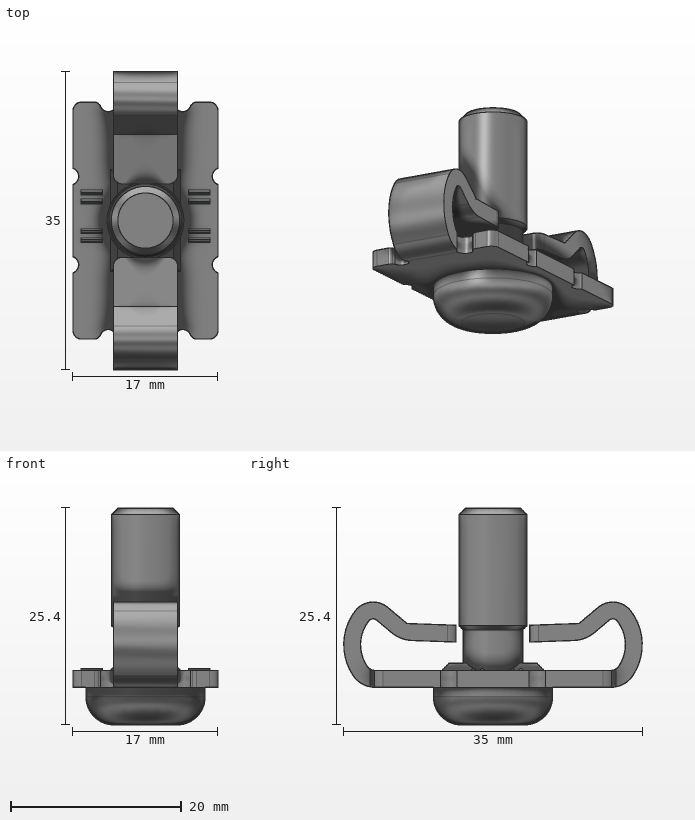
import cadquery as cq
import math


SHEET = 2.0
PLATE_WIDTH = 17.0
PLATE_LENGTH = 27.77
CORNER_RADIUS = 1.0

SHOULDER_X = 5.7
SHOULDER_DEPTH = 0.7
SHOULDER_RADIUS = 0.6
RELIEF_X = 4.37
RELIEF_Y = 13.7
RELIEF_RADIUS = 0.95
RELIEF_HEIGHT = 2.8

NOTCH_RADIUS = 1.0
NOTCH_Y = 5.18
NOTCH_CENTRE_OUTSET = 0.35

PAD_HEIGHT = 0.85
PAD_WIDTH = 8.2
PAD_LENGTH = 11.95
HOLE_DIAMETER = 9.0

RIDGE_X = 6.3
RIDGE_LENGTH = 2.52
RIDGE_HEIGHT = 0.2
RIDGE_BASE = 0.55
RIDGE_TOP = 0.15
RIDGE_PAIR_CENTRES = (2.75, -1.8)
RIDGE_PITCH = 1.05

STRAP_WIDTH = 7.52
STRAP_REACH = 17.5
STRAP_HEIGHT = 10.0
STRAP_ROOT_Y = 10.5
LOWER_BEND_RADIUS = 3.1
SIDE_BEND_RADIUS = 6.5
UPPER_BEND_RADIUS = 2.65
RAMP_ANGLE = 40
CREASE_INNER_RADIUS = 4.0
TONGUE_START_Y = 10.07
TONGUE_TIP_Y = 4.3
TONGUE_TILT = 2
TIP_RADIUS = 1.0

HEAD_DIAMETER = 14
HEAD_HEIGHT = 4.4
HEAD_ROUND = 3.32
COLLAR_DIAMETER = 8.6
COLLAR_HEIGHT = 0.85
NECK_DIAMETER = 7
THREAD_DIAMETER = 8.0
THREAD_START_Z = 7.25
SCREW_TOP_Z = 21
TIP_CHAMFER = 0.77


def polar(centre, radius, angle):
    """Point at the given radius and angle (degrees) from a centre."""
    turn = math.radians(angle)
    return (centre[0] + radius * math.cos(turn), centre[1] + radius * math.sin(turn))


def strap_outline():
    """Closed side outline (Y, Z) of the +Y strap, of constant sheet thickness."""
    side_centre = (STRAP_REACH - SIDE_BEND_RADIUS, STRAP_HEIGHT / 2)

    def tangent_bend(radius, centre_z):
        """Centre of a bend inside the side bend, and the angle where they meet."""
        rise = centre_z - side_centre[1]
        angle = math.degrees(math.asin(rise / (SIDE_BEND_RADIUS - radius)))
        return polar(side_centre, SIDE_BEND_RADIUS - radius, angle), angle

    lower_centre, lower_angle = tangent_bend(LOWER_BEND_RADIUS, LOWER_BEND_RADIUS)
    upper_centre, upper_angle = tangent_bend(UPPER_BEND_RADIUS, STRAP_HEIGHT - UPPER_BEND_RADIUS)
    ramp_normal = 90 + RAMP_ANGLE
    tongue_normal = 90 + TONGUE_TILT

    ramp_top = polar(upper_centre, UPPER_BEND_RADIUS, ramp_normal)
    ramp_drop = (ramp_top[0] - TONGUE_START_Y) * math.tan(math.radians(RAMP_ANGLE))
    crease = (TONGUE_START_Y, ramp_top[1] - ramp_drop)
    tilt_slope = math.tan(math.radians(TONGUE_TILT))
    tip_top_z = crease[1] - (TONGUE_START_Y - TONGUE_TIP_Y) * tilt_slope
    tip_thickness = SHEET / math.cos(math.radians(TONGUE_TILT))

    crease_normal = (tongue_normal + ramp_normal) / 2
    crease_half_turn = math.radians((ramp_normal - tongue_normal) / 2)
    crease_centre = polar(crease, (CREASE_INNER_RADIUS - SHEET) / math.cos(crease_half_turn), crease_normal)

    bends = (
        (lower_centre, LOWER_BEND_RADIUS, -90, lower_angle),
        (side_centre, SIDE_BEND_RADIUS, lower_angle, upper_angle),
        (upper_centre, UPPER_BEND_RADIUS, upper_angle, ramp_normal),
    )
    outline = cq.Workplane("YZ").moveTo(STRAP_ROOT_Y, 0).lineTo(lower_centre[0], 0)
    for centre, radius, start, end in bends:
        middle = polar(centre, radius, (start + end) / 2)
        outline = outline.threePointArc(middle, polar(centre, radius, end))
    outline = (
        outline.lineTo(*crease)
        .lineTo(TONGUE_TIP_Y, tip_top_z)
        .lineTo(TONGUE_TIP_Y, tip_top_z - tip_thickness)
        .lineTo(*polar(crease_centre, -CREASE_INNER_RADIUS, tongue_normal))
        .threePointArc(
            polar(crease_centre, -CREASE_INNER_RADIUS, crease_normal),
            polar(crease_centre, -CREASE_INNER_RADIUS, ramp_normal),
        )
        .lineTo(*polar(upper_centre, UPPER_BEND_RADIUS - SHEET, ramp_normal))
    )
    for centre, radius, start, end in reversed(bends):
        inner = radius - SHEET
        outline = outline.threePointArc(polar(centre, inner, (start + end) / 2), polar(centre, inner, start))
    return outline.lineTo(STRAP_ROOT_Y, SHEET).close()


def make_strap():
    """The +Y strap with its two tongue corners rounded."""
    strap = strap_outline().extrude(STRAP_WIDTH / 2, both=True)
    return strap.faces("<Y").edges("|Z").fillet(TIP_RADIUS)


def make_plate():
    """Flat plate with rounded corners, shouldered ends and notched sides."""
    half_width = PLATE_WIDTH / 2
    half_length = PLATE_LENGTH / 2
    plate = cq.Workplane("XY").rect(PLATE_WIDTH, PLATE_LENGTH).extrude(SHEET)
    plate = plate.edges("|Z").fillet(CORNER_RADIUS)
    shoulder_bottom = SHOULDER_X - SHOULDER_DEPTH
    recess = (
        cq.Workplane("XY")
        .polyline([
            (-SHOULDER_X, half_length),
            (-shoulder_bottom, half_length - SHOULDER_DEPTH),
            (shoulder_bottom, half_length - SHOULDER_DEPTH),
            (SHOULDER_X, half_length),
        ])
        .close()
        .extrude(SHEET)
    )
    plate = plate.cut(recess).cut(recess.mirror("XZ"))
    for x in (-SHOULDER_X, SHOULDER_X):
        for y in (-half_length, half_length):
            shoulder_edge = cq.selectors.NearestToPointSelector((x, y, SHEET / 2))
            plate = plate.edges(shoulder_edge).fillet(SHOULDER_RADIUS)
    notch_x = half_width + NOTCH_CENTRE_OUTSET
    notches = (
        cq.Workplane("XY").rect(2 * notch_x, 2 * NOTCH_Y, forConstruction=True)
        .vertices().circle(NOTCH_RADIUS).extrude(SHEET)
    )
    return plate.cut(notches)


def make_pad():
    """Raised rectangular pad with 45-degree sides."""
    return (
        cq.Workplane("XY", origin=(0, 0, SHEET))
        .rect(PAD_WIDTH, PAD_LENGTH)
        .extrude(PAD_HEIGHT, taper=45)
    )


def make_ridge(x, y):
    """Small marking ridge of trapezoidal section, lying along X."""
    return (
        cq.Workplane("YZ", origin=(x - RIDGE_LENGTH / 2, y, SHEET))
        .polyline([
            (-RIDGE_BASE / 2, 0),
            (RIDGE_BASE / 2, 0),
            (RIDGE_TOP / 2, RIDGE_HEIGHT),
            (-RIDGE_TOP / 2, RIDGE_HEIGHT),
        ])
        .close()
        .extrude(RIDGE_LENGTH)
    )


def make_retainer():
    """Plate, pad, both spring straps and the marking ridges as one sheet-metal body."""
    strap = make_strap()
    retainer = make_plate().union(strap).union(strap.mirror("XZ")).union(make_pad())
    for x in (-RIDGE_X, RIDGE_X):
        for pair_y in RIDGE_PAIR_CENTRES:
            for y in (pair_y - RIDGE_PITCH / 2, pair_y + RIDGE_PITCH / 2):
                retainer = retainer.union(make_ridge(x, y))
    reliefs = (
        cq.Workplane("XY").rect(2 * RELIEF_X, 2 * RELIEF_Y, forConstruction=True)
        .vertices().circle(RELIEF_RADIUS).extrude(RELIEF_HEIGHT)
    )
    hole = cq.Workplane("XY").circle(HOLE_DIAMETER / 2).extrude(SHEET + PAD_HEIGHT)
    return retainer.cut(reliefs).cut(hole)


def make_screw():
    """Round-headed screw with a collar, a relieved neck and a plain thread cylinder."""
    head_radius = HEAD_DIAMETER / 2
    collar_radius = COLLAR_DIAMETER / 2
    neck_radius = NECK_DIAMETER / 2
    thread_radius = THREAD_DIAMETER / 2
    cone_top_z = COLLAR_HEIGHT + collar_radius - neck_radius
    round_centre = (head_radius - HEAD_ROUND, HEAD_ROUND - HEAD_HEIGHT)
    return (
        cq.Workplane("XZ")
        .moveTo(0, -HEAD_HEIGHT)
        .lineTo(round_centre[0], -HEAD_HEIGHT)
        .threePointArc(polar(round_centre, HEAD_ROUND, -45), (head_radius, round_centre[1]))
        .lineTo(head_radius, 0)
        .lineTo(collar_radius, 0)
        .lineTo(collar_radius, COLLAR_HEIGHT)
        .lineTo(neck_radius, cone_top_z)
        .lineTo(neck_radius, THREAD_START_Z - (thread_radius - neck_radius))
        .lineTo(thread_radius, THREAD_START_Z)
        .lineTo(thread_radius, SCREW_TOP_Z - TIP_CHAMFER)
        .lineTo(thread_radius - TIP_CHAMFER, SCREW_TOP_Z)
        .lineTo(0, SCREW_TOP_Z)
        .close()
        .revolve(360, (0, 0, 0), (0, 1, 0))
    )


retainer = make_retainer()
screw = make_screw()
result = cq.Compound.makeCompound([retainer.val(), screw.val()])